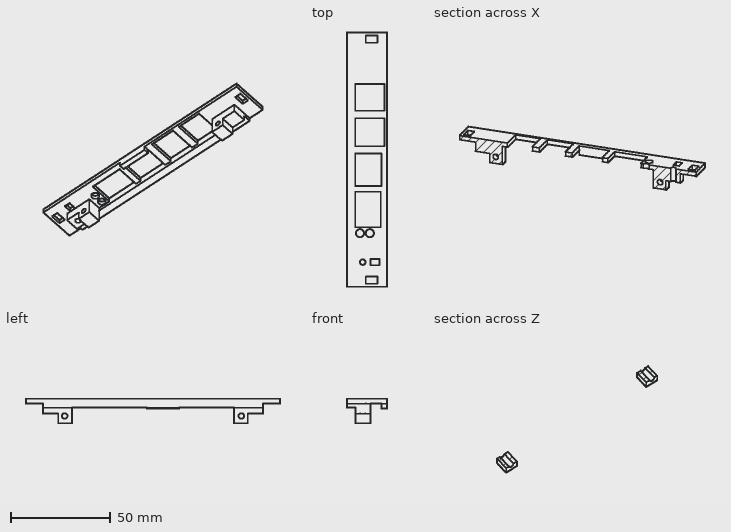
import cadquery as cq

PLATE_WIDTH = 20.32
PLATE_LENGTH = 128.5
PLATE_THICKNESS = 2.5

WINDOW_LEFT = 4.25
PAD_WINDOW_WIDTH = 13.2
PAD_WINDOW_Y = 51.0
PAD_WINDOW_LENGTH = 16.3
WINDOWS = [
    (12.8, 30.1, 17.8),
    (PAD_WINDOW_WIDTH, PAD_WINDOW_Y, PAD_WINDOW_LENGTH),
    (14.7, 71.1, 14.0),
    (14.7, 89.0, 13.4),
]

SLOT_WIDTH = 5.8
SLOT_LENGTH = 3.5
SLOT_CENTER_X = 12.5
SLOT_EDGE_DISTANCE = 3.35

LARGE_HOLE_DIAMETER = 4.0
LARGE_HOLE_PITCH = 5.0
LARGE_HOLE_FIRST_X = 6.6
LARGE_HOLE_Y = 27.1

SMALL_HOLE_DIAMETER = 2.7
SMALL_ROW_Y = 12.5
SMALL_HOLE_X = 8.0
SMALL_OPENING_X = 14.2
SMALL_OPENING_WIDTH = 4.3
SMALL_OPENING_LENGTH = 3.1

RIB_DEPTH = 2.0
RIB_INSET = 8.6

PAD_DEPTH = 2.5

BRACKET_WIDTH = 7.7
BRACKET_LENGTH = 14.8
ARM_DEPTH = 5.0
FOOT_DEPTH = 10.0
FOOT_OFFSET = 7.75
CROSS_HOLE_Y = 19.65
CROSS_HOLE_DEPTH = 6.2


def box(x, y, z, width, length, height):
    """Axis-aligned block grown from its lowest corner."""
    return cq.Workplane("XY").box(width, length, height, centered=False).translate((x, y, z))


def opening(x, y, width, length):
    """Cutter for a rectangular opening through the plate, centred on (x, y)."""
    return box(x - width / 2, y - length / 2, 0, width, length, PLATE_THICKNESS)


def round_hole(x, y, diameter, bottom):
    """Cutter for a round hole from the plate's top face down to the height bottom."""
    cutter = cq.Workplane("XY", origin=(x, y, bottom)).circle(diameter / 2)
    return cutter.extrude(PLATE_THICKNESS - bottom)


def make_plate():
    """Flat panel with its windows, slots, large holes and small opening."""
    plate = box(0, 0, 0, PLATE_WIDTH, PLATE_LENGTH, PLATE_THICKNESS)
    for width, y, length in WINDOWS:
        plate = plate.cut(box(WINDOW_LEFT, y, 0, width, length, PLATE_THICKNESS))
    for y in (SLOT_EDGE_DISTANCE, PLATE_LENGTH - SLOT_EDGE_DISTANCE):
        plate = plate.cut(opening(SLOT_CENTER_X, y, SLOT_WIDTH, SLOT_LENGTH))
    for x in (LARGE_HOLE_FIRST_X, LARGE_HOLE_FIRST_X + LARGE_HOLE_PITCH):
        plate = plate.cut(round_hole(x, LARGE_HOLE_Y, LARGE_HOLE_DIAMETER, 0))
    return plate.cut(opening(SMALL_OPENING_X, SMALL_ROW_Y, SMALL_OPENING_WIDTH, SMALL_OPENING_LENGTH))


def make_rib():
    """Rib under the left edge, as wide as the strip beside the windows."""
    return box(0, RIB_INSET, -RIB_DEPTH, WINDOW_LEFT, PLATE_LENGTH - 2 * RIB_INSET, RIB_DEPTH)


def make_pad():
    """Pad under the strip between its window and the right edge."""
    x = WINDOW_LEFT + PAD_WINDOW_WIDTH
    return box(x, PAD_WINDOW_Y, -PAD_DEPTH, PLATE_WIDTH - x, PAD_WINDOW_LENGTH, PAD_DEPTH)


def make_bracket():
    """Bracket at the low Y end: a shallow arm and a deeper foot drilled along X."""
    arm = box(WINDOW_LEFT, RIB_INSET, -ARM_DEPTH, BRACKET_WIDTH, BRACKET_LENGTH, ARM_DEPTH)
    foot_y = RIB_INSET + FOOT_OFFSET
    foot_length = BRACKET_LENGTH - FOOT_OFFSET
    foot = box(WINDOW_LEFT, foot_y, -FOOT_DEPTH, BRACKET_WIDTH, foot_length, FOOT_DEPTH)
    cross_hole = (
        cq.Workplane("YZ", origin=(WINDOW_LEFT, CROSS_HOLE_Y, -CROSS_HOLE_DEPTH))
        .circle(SMALL_HOLE_DIAMETER / 2)
        .extrude(BRACKET_WIDTH)
    )
    return arm.union(foot).cut(cross_hole)


near_bracket = make_bracket()
far_bracket = near_bracket.mirror("XZ", (0, PLATE_LENGTH / 2, 0))

panel = make_plate()
for feature in (make_rib(), make_pad(), near_bracket, far_bracket):
    panel = panel.union(feature)

result = panel.cut(round_hole(SMALL_HOLE_X, SMALL_ROW_Y, SMALL_HOLE_DIAMETER, -ARM_DEPTH))